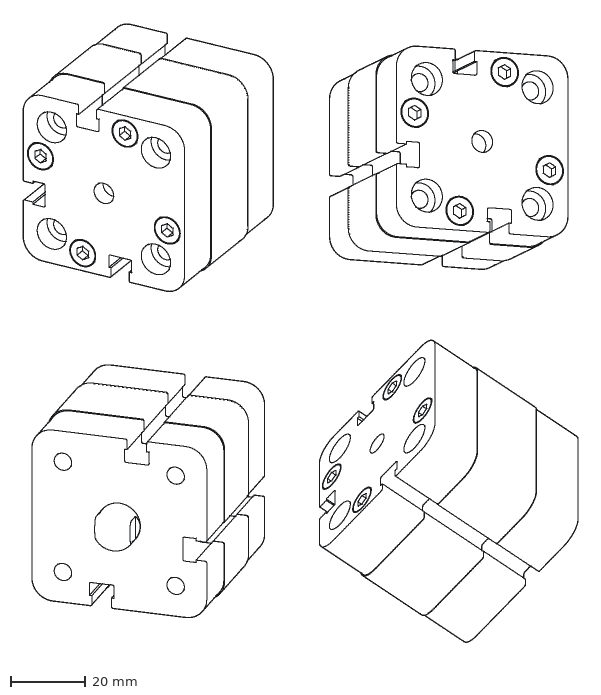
import cadquery as cq


total_length = 55.5
body_length = 49.5
cap_length = 14.55
barrel_length = body_length - 2 * cap_length
rod_length = total_length - body_length

barrel_width = 50.1
cap_width = 49.6
corner_radius = 6.0

slot_offset = 5.0
slot_mouth_width = 5.55
slot_inner_width = 6.95
slot_lip_height = 21.8
slot_floor_height = 18.05
slot_round = 0.5
slot_angles = (0, 90, 180)
barrel_slot_clearance = 0.05

mount_offset = 16.0
mount_diameter = 4.95
counterbore_diameter = 9.0
counterbore_depth = 5.5

screw_short_offset = 6.5
screw_long_offset = 19.5
screw_centers = (
    (screw_short_offset, screw_long_offset),
    (-screw_long_offset, screw_short_offset),
    (-screw_short_offset, -screw_long_offset),
    (screw_long_offset, -screw_short_offset),
)
screw_bore_diameter = 8.0
screw_head_diameter = 7.5
screw_head_length = 5.0
hex_across_flats = 3.5
hex_depth = 3.0

center_hole_diameter = 6.0
center_hole_depth = 5.0

rod_diameter = 12.0
rod_end_round = 1.35
flat_spacing = 10.0
flat_length = 4.7


def front_plane(y):
    """Workplane across the stroke axis at the given y, with local x = X and local y = Z."""
    return cq.Workplane("XZ", origin=(0, y, 0))


def extruded(outline, length):
    """Extrude an outline from a front plane toward +Y."""
    return outline.extrude(-length)


def turned(shape, angle):
    """Turn a shape about the stroke axis, counterclockwise as seen from -Y."""
    return shape.rotate((0, 0, 0), (0, -1, 0), angle)


def slot_cutter(width, start, length, clearance):
    """T-slot in the top face of a section, with a rounded mouth and floor corners.

    The clearance widens and deepens the slot evenly.
    """
    face_height = width / 2
    mouth_half = slot_mouth_width / 2 + clearance
    inner_half = slot_inner_width / 2 + clearance
    floor_height = slot_floor_height - clearance
    outline = (
        front_plane(start)
        .center(-slot_offset, 0)
        .moveTo(-mouth_half - slot_round, face_height)
        .radiusArc((-mouth_half, face_height - slot_round), slot_round)
        .lineTo(-mouth_half, slot_lip_height)
        .lineTo(-inner_half, slot_lip_height)
        .lineTo(-inner_half, floor_height + slot_round)
        .radiusArc((-inner_half + slot_round, floor_height), -slot_round)
        .lineTo(inner_half - slot_round, floor_height)
        .radiusArc((inner_half, floor_height + slot_round), -slot_round)
        .lineTo(inner_half, slot_lip_height)
        .lineTo(mouth_half, slot_lip_height)
        .lineTo(mouth_half, face_height - slot_round)
        .radiusArc((mouth_half + slot_round, face_height), slot_round)
        .close()
    )
    return extruded(outline, length)


def body_section(width, start, length, slot_clearance=0):
    """Square section with rounded corners and a T-slot in three of its sides."""
    section = extruded(front_plane(start).rect(width, width), length)
    section = section.edges("|Y").fillet(corner_radius)
    cutter = slot_cutter(width, start, length, slot_clearance)
    for angle in slot_angles:
        section = section.cut(turned(cutter, angle))
    return section


def mounting_holes():
    """Through holes in the four corners, counterbored from the front."""
    spacing = 2 * mount_offset
    centers = front_plane(0).rect(spacing, spacing, forConstruction=True).vertices()
    through = extruded(centers.circle(mount_diameter / 2), body_length)
    counterbores = extruded(centers.circle(counterbore_diameter / 2), counterbore_depth)
    return through.union(counterbores)


def screw_recess(x, z):
    """Clearance ring around one flush screw head at (x, z), with a socket corner pointing up."""
    center = front_plane(0).center(x, z)
    ring = extruded(
        center.circle(screw_bore_diameter / 2).circle(screw_head_diameter / 2),
        screw_head_length,
    )
    socket = extruded(center.polygon(6, hex_across_flats, circumscribed=True), hex_depth)
    return ring.union(socket)


def piston_rod():
    """Rod with a rounded end and two flats that run out at 45 degrees toward the body."""
    rod = extruded(front_plane(body_length).circle(rod_diameter / 2), rod_length)
    rod = rod.faces(">Y").edges().fillet(rod_end_round)
    flat_half = flat_spacing / 2
    flat_start = total_length - flat_length
    runout = rod_diameter / 2 - flat_half
    flat = (
        cq.Workplane("XY")
        .moveTo(flat_half, total_length)
        .lineTo(flat_half, flat_start)
        .lineTo(flat_half + runout, flat_start - runout)
        .lineTo(flat_half + runout, total_length)
        .close()
        .extrude(rod_diameter / 2, both=True)
    )
    return rod.cut(flat).cut(flat.mirror("YZ"))


result = body_section(cap_width, 0, cap_length)
result = result.union(body_section(barrel_width, cap_length, barrel_length, barrel_slot_clearance))
result = result.union(body_section(cap_width, cap_length + barrel_length, cap_length))

result = result.cut(mounting_holes())
result = result.cut(extruded(front_plane(0).circle(center_hole_diameter / 2), center_hole_depth))
for screw_x, screw_z in screw_centers:
    result = result.cut(screw_recess(screw_x, screw_z))

result = result.union(piston_rod())